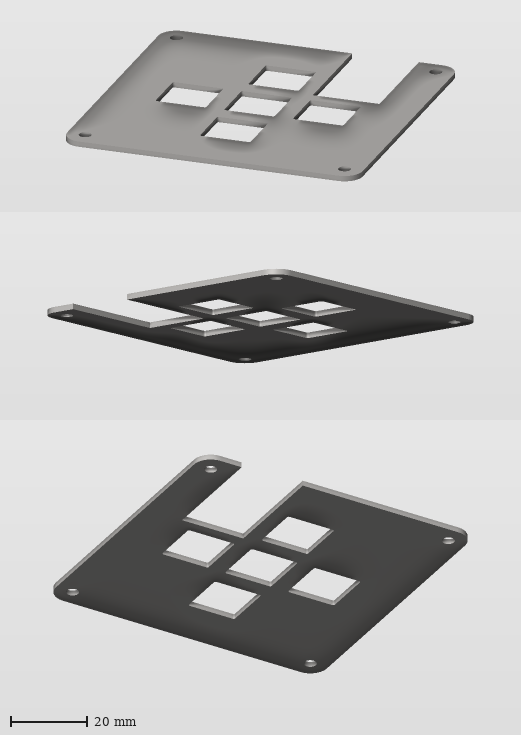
import cadquery as cq

plate_side = 81.91
plate_thickness = 1.5
corner_radius = 5.0

screw_hole_diameter = 3.4
screw_hole_spacing = plate_side - 2 * corner_radius

key_opening_side = 14.0
key_opening_corner_radius = 0.5
key_pitch = 19.05
cluster_center_x = -0.5
cluster_center_y = -0.5

notch_left_x = 11.0
notch_width = 18.5
notch_depth = 31.0


def make_plate():
    return (
        cq.Workplane("XY")
        .rect(plate_side, plate_side)
        .extrude(plate_thickness)
        .edges("|Z")
        .fillet(corner_radius)
    )


def cut_screw_holes(plate):
    return (
        plate.faces(">Z")
        .workplane(origin=(0, 0, 0))
        .rect(screw_hole_spacing, screw_hole_spacing, forConstruction=True)
        .vertices()
        .hole(screw_hole_diameter)
    )


def cut_key_openings(plate):
    key_opening = (
        cq.Workplane("XY")
        .rect(key_opening_side, key_opening_side)
        .extrude(plate_thickness)
        .edges("|Z")
        .fillet(key_opening_corner_radius)
    )
    for column, row in [(0, 0), (1, 0), (-1, 0), (0, 1), (0, -1)]:
        x = cluster_center_x + column * key_pitch
        y = cluster_center_y + row * key_pitch
        plate = plate.cut(key_opening.translate((x, y, 0)))
    return plate


def cut_notch(plate):
    notch = (
        cq.Workplane("XY")
        .box(notch_width, notch_depth, plate_thickness, centered=False)
        .translate((notch_left_x, plate_side / 2 - notch_depth, 0))
    )
    return plate.cut(notch)


result = make_plate()
result = cut_screw_holes(result)
result = cut_key_openings(result)
result = cut_notch(result)